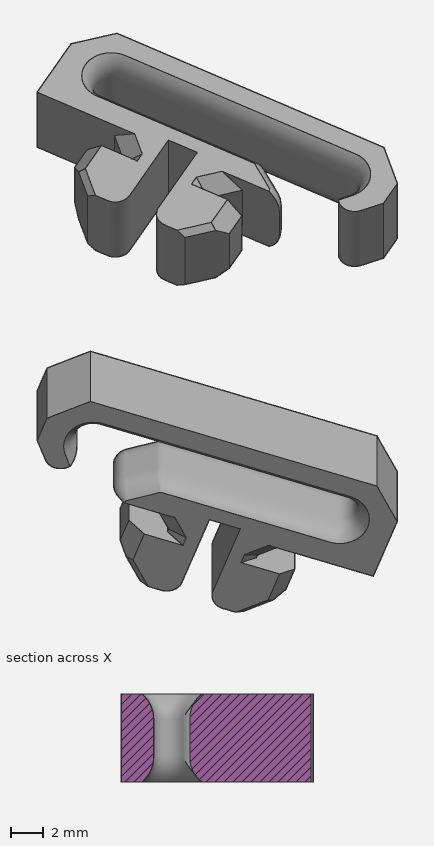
import cadquery as cq
import math

thickness = 5.4
half_thickness = thickness / 2

body_left = -9.87
body_right = 12.93
body_top = 6.4
corner_chamfer = 2.07
right_side_bottom = 2.55
hook_angle_degrees = -38.0
tip_radius = 1.0

cavity_radius = 1.1
cavity_center_y = 3.3
cavity_left_x = -6.5
cavity_right_x = 9.55
lip_corner_x = 4.5
lip_corner_radius = 0.73
lip_end_x = 6.05
lip_end_radius = 1.0

rim_radius = 1.94
rim_flat = 0.148
cutter_margin = 0.11

neck_half_width = 2.9
neck_root_half_width = 4.47
neck_chamfer = 1.0
head_half_width = 5.4
head_top = -1.78
head_bottom = -5.38
head_lead_in = 2.0
head_side_chamfer = 1.0
head_lead_in_chamfer = 0.39
gap_half_width = 1.0
gap_top = 0.57
gap_mouth_radius = 1.0
joint_overlap = 0.45

run_out = 3.42


def polar(center, radius, angle):
    """Point on a circle, with the angle in radians."""
    return (center[0] + radius * math.cos(angle), center[1] + radius * math.sin(angle))


def external_tangent_angle(start, start_radius, end, end_radius):
    """Normal angle of the common tangent on the left of the start-to-end direction."""
    dx = end[0] - start[0]
    dy = end[1] - start[1]
    return math.atan2(dy, dx) + math.acos((start_radius - end_radius) / math.hypot(dx, dy))


def extrude(sketch):
    return sketch.extrude(half_thickness, both=True)


left_center = (cavity_left_x, cavity_center_y)
right_center = (cavity_right_x, cavity_center_y)
cavity_top = cavity_center_y + cavity_radius
cavity_bottom = cavity_center_y - cavity_radius

hook_angle = math.radians(hook_angle_degrees)
hook_wall_start = polar(right_center, cavity_radius, hook_angle)
tip_center = polar(right_center, cavity_radius + tip_radius, hook_angle)
hook_wall_end = (
    hook_wall_start[0] + run_out * math.sin(hook_angle),
    hook_wall_start[1] - run_out * math.cos(hook_angle),
)

lip_corner_center = (lip_corner_x, cavity_bottom - lip_corner_radius)
lip_end_center = (lip_end_x, 0)
lip_angle = external_tangent_angle(lip_corner_center, lip_corner_radius, lip_end_center, lip_end_radius)
lip_end = (lip_end_x + lip_end_radius, 0)
lip_run_out = (lip_end[0], -joint_overlap)


def add_cavity_wall(sketch):
    """Continue a line that is at hook_wall_start along the cavity wall to the end of the lip."""
    return (
        sketch
        .threePointArc(
            polar(right_center, cavity_radius, (hook_angle + math.pi / 2) / 2),
            (cavity_right_x, cavity_top),
        )
        .lineTo(cavity_left_x, cavity_top)
        .threePointArc(polar(left_center, cavity_radius, math.pi), (cavity_left_x, cavity_bottom))
        .lineTo(lip_corner_x, cavity_bottom)
        .threePointArc(
            polar(lip_corner_center, lip_corner_radius, (lip_angle + math.pi / 2) / 2),
            polar(lip_corner_center, lip_corner_radius, lip_angle),
        )
        .lineTo(*polar(lip_end_center, lip_end_radius, lip_angle))
        .threePointArc(polar(lip_end_center, lip_end_radius, lip_angle / 2), lip_end)
    )


def rim_cutter():
    """Rim section at the upper face, swept along the cavity wall."""
    arc_depth = rim_radius * math.sin(math.pi / 4)
    arc_width = rim_radius - arc_depth
    arc_bottom = half_thickness - rim_flat - arc_depth
    arc_middle = (
        rim_radius * (1 - math.cos(math.pi / 8)),
        arc_bottom + rim_radius * math.sin(math.pi / 8),
    )
    rim_width = arc_width + rim_flat
    section_plane = cq.Plane(
        origin=(*hook_wall_end, 0),
        xDir=(math.cos(hook_angle), math.sin(hook_angle), 0),
        normal=(math.sin(hook_angle), -math.cos(hook_angle), 0),
    )
    section = (
        cq.Workplane(section_plane)
        .moveTo(0, arc_bottom)
        .threePointArc(arc_middle, (arc_width, half_thickness - rim_flat))
        .lineTo(rim_width, half_thickness)
        .lineTo(rim_width, half_thickness + cutter_margin)
        .lineTo(-cutter_margin, half_thickness + cutter_margin)
        .lineTo(-cutter_margin, arc_bottom)
        .close()
    )
    path = cq.Workplane("XY").moveTo(*hook_wall_end).lineTo(*hook_wall_start)
    path = add_cavity_wall(path).lineTo(*lip_run_out)
    return section.sweep(path)


def hook_body():
    to_corner_x = body_right - tip_center[0]
    to_corner_y = right_side_bottom - tip_center[1]
    corner_distance = math.hypot(to_corner_x, to_corner_y)
    tip_start_angle = math.atan2(to_corner_y, to_corner_x) - math.acos(tip_radius / corner_distance)
    tip_end_angle = hook_angle - math.pi
    outline = (
        cq.Workplane("XY")
        .moveTo(body_left, 0)
        .lineTo(body_left, body_top - corner_chamfer)
        .lineTo(body_left + corner_chamfer, body_top)
        .lineTo(body_right - corner_chamfer, body_top)
        .lineTo(body_right, body_top - corner_chamfer)
        .lineTo(body_right, right_side_bottom)
        .lineTo(*polar(tip_center, tip_radius, tip_start_angle))
        .threePointArc(
            polar(tip_center, tip_radius, (tip_start_angle + tip_end_angle) / 2),
            hook_wall_start,
        )
    )
    body = extrude(add_cavity_wall(outline).close())
    cutter = rim_cutter()
    return body.cut(cutter).cut(cutter.mirror("XY"))


def clip_neck():
    """Tapered neck whose ends are buried in the body and the head."""
    taper_end = neck_half_width - neck_root_half_width
    root_half_width = neck_root_half_width + joint_overlap
    neck_bottom = head_top - joint_overlap
    outline = (
        cq.Workplane("XY")
        .moveTo(-root_half_width, joint_overlap)
        .lineTo(root_half_width, joint_overlap)
        .lineTo(neck_half_width, taper_end)
        .lineTo(neck_half_width, neck_bottom)
        .lineTo(-neck_half_width, neck_bottom)
        .lineTo(-neck_half_width, taper_end)
        .close()
    )
    return extrude(outline).faces("|Z").edges("not |X").chamfer(neck_chamfer)


def clip_head():
    shoulder_y = head_bottom + head_lead_in
    bottom_half_width = head_half_width - head_lead_in
    outline = (
        cq.Workplane("XY")
        .moveTo(-head_half_width, head_top)
        .lineTo(head_half_width, head_top)
        .lineTo(head_half_width, shoulder_y)
        .lineTo(bottom_half_width, head_bottom)
        .lineTo(-bottom_half_width, head_bottom)
        .lineTo(-head_half_width, shoulder_y)
        .close()
    )
    head = extrude(outline)

    side_prism = (
        cq.Workplane("XY")
        .box(2 * head_half_width, 2 * thickness, thickness)
        .translate((0, head_bottom, 0))
        .edges("|Y")
        .chamfer(head_side_chamfer)
    )
    head = head.intersect(side_prism)
    for side in (-1, 1):
        head = head.intersect(lead_in_prism(side))
    return head


def lead_in_prism(side):
    """Block bounded by one 45 degree lead-in, with the long edges of that face chamfered."""
    block_size = 4 * thickness
    block = (
        cq.Workplane("XY")
        .box(block_size, block_size, thickness)
        .faces("<Y")
        .edges("|X")
        .chamfer(head_lead_in_chamfer)
        .translate((0, block_size / 2, 0))
        .rotate((0, 0, 0), (0, 0, 1), side * 45)
    )
    return block.translate((side * (head_half_width - head_lead_in), head_bottom, 0))


def clip_gap():
    """Slot that splits the clip into two legs, with a rounded mouth."""
    mouth_half_width = gap_half_width + gap_mouth_radius
    round_center_y = head_bottom + gap_mouth_radius
    round_offset = gap_mouth_radius * math.sin(math.pi / 4)
    round_middle_x = mouth_half_width - round_offset
    round_middle_y = round_center_y - round_offset
    outline = (
        cq.Workplane("XY")
        .moveTo(-gap_half_width, gap_top)
        .lineTo(gap_half_width, gap_top)
        .lineTo(gap_half_width, round_center_y)
        .threePointArc((round_middle_x, round_middle_y), (mouth_half_width, head_bottom))
        .lineTo(-mouth_half_width, head_bottom)
        .threePointArc((-round_middle_x, round_middle_y), (-gap_half_width, round_center_y))
        .close()
    )
    return extrude(outline)


result = hook_body().union(clip_neck()).union(clip_head()).cut(clip_gap())